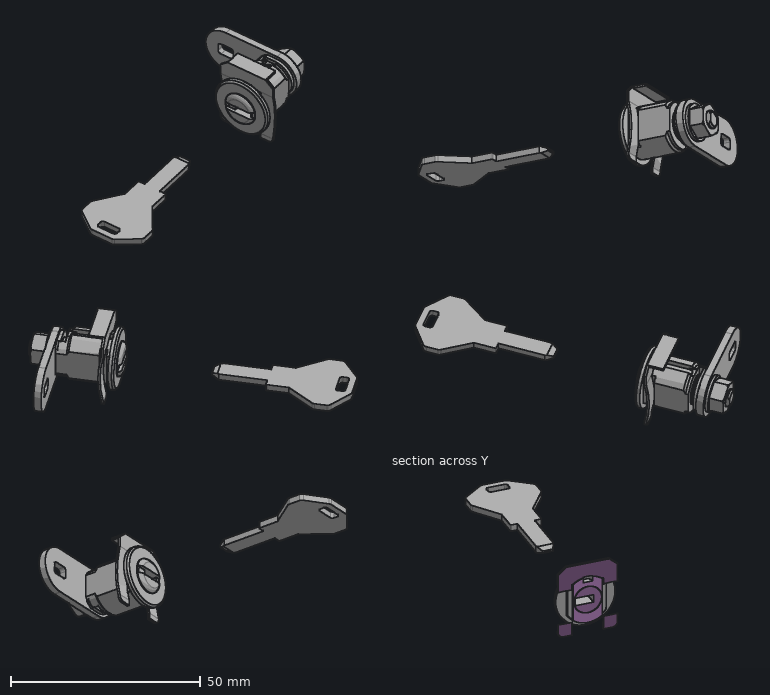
import cadquery as cq
import math


flange_radius = 8.5
flange_thickness = 1.5
flange_chamfer = 0.5
body_radius = 7.0
body_half_width = 5.5
body_length = 11.2
taper_end = 11.8
rear_radius = 6.4
rear_end = 12.6
boss_radius = 4.1
boss_height = 0.4
lug_inner_x = -3.0
lug_end = 14.8
lug_recess_start = 14.4
lug_recess_x = -4.8
top_slot_width = 2.6
shallow_floor_z = 5.95
deep_floor_z = 5.4
deep_slot_start = 0.2
deep_slot_end = 11.7
clip_groove_start = 1.0
clip_groove_end = 3.0
clip_groove_half_width = 4.2

journal_radius = 3.85
head_radius = 4.8
head_height = 1.2
head_front_radius = 3.6
head_rim_height = 0.22
head_bulge = 0.2
keyhole_height = 2.1
keyhole_offset = 1.0
collar_radius = 5.6
collar_start = 13.9
stud_radius = 2.45
stud_half_width = 1.7
stud_chamfer = 0.5
stud_end = 22.8

cam_start = 15.0
cam_thickness = 2.1
cam_radius = 6.5
cam_reach = 23.0
cam_slot_length = 4.9
cam_slot_height = 3.4
cam_slot_rounding = 0.9
washer_radius = 5.1
washer_thickness = 0.8
nut_across_corners = 9.3
nut_height = 4.0
nut_chamfer = 0.35

clip_thickness = 0.6
clip_front = 1.2
clip_half_width = 8.5
clip_top = 11.1
clip_bottom = -9.9
clip_shoulder_z = 9.1
clip_foot_rounding = 1.5
tab_half_width = 6.1
tab_end = 5.8
clip_gap_half_width = 4.5
bow_top = 6.2
bow_bottom = -8.3
bow_depth = 0.9

overall_length = 87.6
key_thickness = 1.9
key_end = stud_end - overall_length
key_length = 38.2
blade_width = 5.0
tip_half_width = 1.5
tip_bevel_length = 1.7
tip_taper_length = 2.1
tip_thickness = 0.6
blade_length = 15.15
neck_half_width = 4.5
neck_end = 21.4
handle_wide_start = 29.1
handle_wide_end = 33.4
key_half_width = 10.1
key_end_half_width = 3.6
ring_slot_width = 6.0
ring_slot_height = 2.5
ring_slot_center = 34.9
ring_slot_rounding = 0.7
handle_rounding = 1.2
neck_rounding = 0.3

flange_front = -flange_thickness
head_front = flange_front - head_height
cam_end = cam_start + cam_thickness
washer_end = cam_end + washer_thickness
key_tip = key_end + key_length


def section(y):
    """Workplane across the lock axis at the given Y; local x is X and local y is Z."""
    return cq.Workplane("XZ", origin=(0, y, 0))


def disc(radius, start, end):
    """Cylinder about the lock axis."""
    return section(start).circle(radius).extrude(start - end)


def block(x_range, y_range, z_range):
    """Axis-parallel box between the given limits."""
    sizes = [high - low for low, high in (x_range, y_range, z_range)]
    corner = (x_range[0], y_range[0], z_range[0])
    return cq.Workplane("XY").box(*sizes, centered=False).translate(corner)


def turned(profile):
    """Solid of revolution about the lock axis from (radius, Y) points."""
    return cq.Workplane("XY").polyline(profile).close().revolve(360, (0, 0), (0, 1))


def double_d(start, end):
    """Round bar with two flats facing -X and +X."""
    flats = block((-stud_half_width, stud_half_width), (start, end), (-stud_radius, stud_radius))
    return disc(stud_radius, start, end).intersect(flats)


def make_housing():
    flange = disc(flange_radius, flange_front, 0).faces("<Y").edges().chamfer(flange_chamfer)

    barrel = turned([
        (0, 0),
        (body_radius, 0),
        (body_radius, body_length),
        (rear_radius, taper_end),
        (rear_radius, rear_end),
        (0, rear_end),
    ])
    lug = disc(rear_radius, rear_end, lug_end).intersect(
        block((-body_radius, lug_inner_x), (rear_end, lug_end), (-body_radius, body_radius))
    )
    recess = block(
        (lug_recess_x, lug_inner_x),
        (lug_recess_start, lug_end),
        (-collar_radius, collar_radius),
    )
    lug = lug.cut(recess)
    flats = block((-body_half_width, body_half_width), (0, lug_end), (-body_radius, body_radius))
    barrel = barrel.union(lug).intersect(flats)
    boss = disc(boss_radius, rear_end, rear_end + boss_height)
    housing = flange.union(barrel).union(boss)

    slot_length = deep_slot_end - deep_slot_start
    deep_slot = (
        cq.Workplane("XY", origin=(0, (deep_slot_start + deep_slot_end) / 2, deep_floor_z))
        .slot2D(slot_length, top_slot_width, 90)
        .extrude(body_radius - deep_floor_z)
    )
    half_slot = top_slot_width / 2
    shallow_slot = block(
        (-half_slot, half_slot),
        (deep_slot_end - half_slot, rear_end),
        (shallow_floor_z, body_radius),
    )
    housing = housing.cut(deep_slot).cut(shallow_slot)

    for low, high in (
        (-body_radius, -clip_groove_half_width),
        (clip_groove_half_width, body_radius),
    ):
        groove = block((low, high), (clip_groove_start, clip_groove_end), (-body_radius, body_radius))
        housing = housing.cut(groove)

    return housing.cut(disc(journal_radius, flange_front, lug_end))


def make_core():
    rim_front = flange_front - head_rim_height
    head = (
        cq.Workplane("XY")
        .moveTo(0, flange_front)
        .lineTo(head_radius, flange_front)
        .lineTo(head_radius, rim_front)
        .sagittaArc((head_front_radius, head_front), head_bulge)
        .lineTo(0, head_front)
        .close()
        .revolve(360, (0, 0), (0, 1))
    )
    journal = disc(journal_radius, flange_front, collar_start)

    height = (-collar_radius, collar_radius)
    collar = (
        section(collar_start)
        .moveTo(lug_inner_x, collar_radius)
        .lineTo(0, collar_radius)
        .threePointArc((collar_radius, 0), (0, -collar_radius))
        .lineTo(lug_inner_x, -collar_radius)
        .close()
        .extrude(collar_start - cam_start)
    )
    tab = block((lug_recess_x, lug_inner_x), (lug_recess_start, cam_start), height)
    tab = tab.intersect(disc(rear_radius, lug_recess_start, cam_start))
    collar = collar.union(tab)

    stud_tip = turned([
        (0, cam_start),
        (stud_radius, cam_start),
        (stud_radius, stud_end - stud_chamfer),
        (stud_radius - stud_chamfer, stud_end),
        (0, stud_end),
    ])
    stud = double_d(cam_start, stud_end).intersect(stud_tip)
    core = head.union(journal).union(collar).union(stud)

    half_height = keyhole_height / 2
    keyhole_x = (keyhole_offset - blade_width / 2, keyhole_offset + blade_width / 2)
    slot_height = (-half_height, half_height)
    groove = block((-head_radius, head_radius), (head_front, rim_front), slot_height)
    keyhole = block(keyhole_x, (head_front, head_front + blade_length), slot_height)
    return core.cut(groove).cut(keyhole)


def make_cam():
    tip_center = cam_radius - cam_reach
    cam = (
        section(cam_start)
        .moveTo(0, cam_radius)
        .threePointArc((cam_radius, 0), (0, -cam_radius))
        .lineTo(tip_center, -cam_radius)
        .threePointArc((-cam_reach, 0), (tip_center, cam_radius))
        .close()
        .extrude(-cam_thickness)
    )
    slot = (
        section(cam_start)
        .center(tip_center, 0)
        .rect(cam_slot_length, cam_slot_height)
        .extrude(-cam_thickness)
        .edges("|Y")
        .fillet(cam_slot_rounding)
    )
    return cam.cut(slot).cut(double_d(cam_start, cam_end))


def make_washer():
    return disc(washer_radius, cam_end, washer_end).cut(disc(stud_radius, cam_end, washer_end))


def make_nut():
    nut_end = washer_end + nut_height
    hexagon = section(washer_end).transformed(rotate=(0, 0, 90)).polygon(6, nut_across_corners)
    turned_blank = disc(nut_across_corners / 2, washer_end, nut_end).faces(">Y").chamfer(nut_chamfer)
    return hexagon.extrude(-nut_height).intersect(turned_blank).cut(disc(stud_radius, washer_end, nut_end))


def make_clip():
    clip_back = clip_front + clip_thickness
    bow_middle = (bow_top + bow_bottom) / 2

    sheet = (
        cq.Workplane("YZ", origin=(-clip_half_width, 0, 0))
        .moveTo(clip_front, clip_top)
        .lineTo(clip_front, bow_top)
        .threePointArc((clip_front + bow_depth, bow_middle), (clip_front, bow_bottom))
        .lineTo(clip_front, clip_bottom)
        .lineTo(clip_back, clip_bottom)
        .lineTo(clip_back, bow_bottom)
        .threePointArc((clip_back + bow_depth, bow_middle), (clip_back, bow_top))
        .lineTo(clip_back, clip_top)
        .close()
        .extrude(2 * clip_half_width)
    )

    gap_arc_z = math.sqrt(body_radius**2 - clip_gap_half_width**2)
    outline = (
        section(0)
        .moveTo(-tab_half_width, clip_top)
        .lineTo(tab_half_width, clip_top)
        .lineTo(clip_half_width, clip_shoulder_z)
        .lineTo(clip_half_width, clip_bottom + clip_foot_rounding)
        .radiusArc((clip_half_width - clip_foot_rounding, clip_bottom), clip_foot_rounding)
        .lineTo(clip_gap_half_width, clip_bottom)
        .lineTo(clip_gap_half_width, gap_arc_z)
        .threePointArc((0, body_radius), (-clip_gap_half_width, gap_arc_z))
        .lineTo(-clip_gap_half_width, clip_bottom)
        .lineTo(clip_foot_rounding - clip_half_width, clip_bottom)
        .radiusArc((-clip_half_width, clip_bottom + clip_foot_rounding), clip_foot_rounding)
        .lineTo(-clip_half_width, clip_shoulder_z)
        .close()
        .extrude(-tab_end)
    )
    tab = block(
        (-tab_half_width, tab_half_width),
        (clip_front, tab_end),
        (clip_top - clip_thickness, clip_top),
    )
    return sheet.intersect(outline).union(tab)


def corners_between(start, end):
    """Selector for the outer corners of the key between two distances from its tip."""
    margin = 0.1
    outer = key_half_width + margin
    inner = blade_width / 2 + margin
    near_y = key_tip - start + margin
    far_y = key_tip - end - margin
    left = cq.selectors.BoxSelector((-outer, far_y, -key_thickness), (-inner, near_y, key_thickness))
    right = cq.selectors.BoxSelector((inner, far_y, -key_thickness), (outer, near_y, key_thickness))
    return left + right


def make_key():
    half_outline = [
        (tip_half_width, 0),
        (blade_width / 2, tip_taper_length),
        (blade_width / 2, blade_length),
        (neck_half_width, blade_length),
        (neck_half_width, neck_end),
        (key_half_width, handle_wide_start),
        (key_half_width, handle_wide_end),
        (key_end_half_width, key_length),
    ]
    right = [(x, key_tip - distance) for x, distance in half_outline]
    left = [(-x, y) for x, y in reversed(right)]
    half_thickness = key_thickness / 2
    key = cq.Workplane("XY", origin=(0, 0, -half_thickness)).polyline(right + left).close()
    key = key.extrude(key_thickness)
    handle_corners = corners_between(handle_wide_start, key_length)
    neck_corners = corners_between(blade_length, blade_length)
    key = key.edges("|Z").edges(handle_corners).fillet(handle_rounding)
    key = key.edges("|Z").edges(neck_corners).fillet(neck_rounding)

    ring_slot = (
        cq.Workplane("XY", origin=(0, key_tip - ring_slot_center, -half_thickness))
        .rect(ring_slot_width, ring_slot_height)
        .extrude(key_thickness)
        .edges("|Z")
        .fillet(ring_slot_rounding)
    )

    bevel_start = key_tip - tip_bevel_length
    side_shape = (
        cq.Workplane("YZ", origin=(-key_half_width, 0, 0))
        .polyline([
            (key_end, -half_thickness),
            (bevel_start, -half_thickness),
            (key_tip, -tip_thickness / 2),
            (key_tip, tip_thickness / 2),
            (bevel_start, half_thickness),
            (key_end, half_thickness),
        ])
        .close()
        .extrude(2 * key_half_width)
    )
    return key.intersect(side_shape).cut(ring_slot)


housing = make_housing()
core = make_core()
cam = make_cam()
washer = make_washer()
nut = make_nut()
clip = make_clip()
key = make_key()

result = cq.Compound.makeCompound([
    housing.val(),
    core.val(),
    cam.val(),
    washer.val(),
    nut.val(),
    clip.val(),
    key.val(),
])